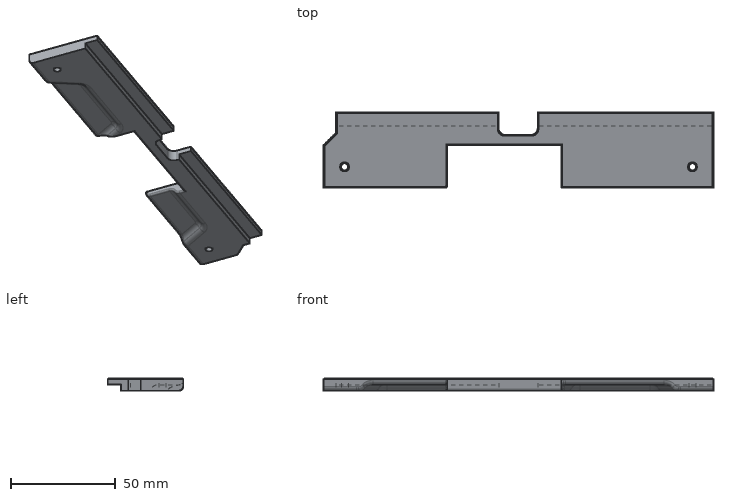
import cadquery as cq
import math

length = 186.0
depth = 36.0
thickness = 6.0
top_chamfer = 0.5

step_width = 6.0
step_start = 20.3

notch_left = 59.0
notch_right = 113.3
notch_depth = 20.3
notch_rim_radius = 1.0

slot_left = 83.5
slot_right = 102.1
slot_floor = 25.3
slot_corner_radius = 3.2

rebate_width = 6.3
rebate_height = 3.0

hole_diameter = 3.3
hole_inset = 10.0

recess_height = 3.0
recess_depth = 14.1
recess_end_angle = 60.0
recess_draft = 34.0
recess_corner_radius = 3.5
recess_left_start = 20.0
recess_right_start = 112.0
recess_right_end = 165.7
recess_root_radius = 3.3
recess_rim_radius = 3.3
front_edge_radius = 2.2

overrun = 7.5
end_slope = 1 / math.tan(math.radians(recess_end_angle))
end_run = recess_depth * end_slope
overrun_run = overrun * end_slope

tolerance = 0.1


def edges_in(body, x_range, y_range, z_range):
    """Edges of body whose centres lie in the given box."""
    low, high = zip(x_range, y_range, z_range)
    return body.edges(cq.selectors.BoxSelector(low, high))


def near(value):
    """Narrow range about a coordinate."""
    return (value - tolerance, value + tolerance)


def plate():
    """Full-height plate with its notch, slot, stepped end and screw holes."""
    outline = [
        (0, 0),
        (notch_left, 0),
        (notch_left, notch_depth),
        (notch_right, notch_depth),
        (notch_right, 0),
        (length, 0),
        (length, depth),
        (slot_right, depth),
        (slot_right, slot_floor),
        (slot_left, slot_floor),
        (slot_left, depth),
        (step_width, depth),
        (step_width, step_start + step_width),
        (0, step_start),
    ]
    body = cq.Workplane("XY").polyline(outline).close().extrude(thickness)
    for x in (slot_left, slot_right):
        corner = cq.selectors.NearestToPointSelector((x, slot_floor, thickness / 2))
        body = body.edges(corner).fillet(slot_corner_radius)
    holes = (
        cq.Workplane("XY")
        .pushPoints([(hole_inset, hole_inset), (length - hole_inset, hole_inset)])
        .circle(hole_diameter / 2)
        .extrude(thickness)
    )
    return body.cut(holes)


def rebate():
    """Block removed from under the whole rear edge."""
    block = cq.Workplane("XY").box(length, rebate_width, rebate_height, centered=False)
    return block.translate((0, depth - rebate_width, 0))


def recess(left_end, right_end):
    """Solid that widens downwards from the ceiling of a recess.

    Each end is given as its front and rear points; slanted ends get a rounded rear corner.
    """
    points = [cq.Vector(x, y, recess_height) for x, y in left_end + right_end[::-1]]
    rear_corners = [end[1] for end in (left_end, right_end) if end[0][0] != end[1][0]]
    wire = cq.Wire.makePolygon(points, close=True)
    rounded = [v for v in wire.Vertices() if v.Center().toTuple()[:2] in rear_corners]
    wire = wire.fillet2D(recess_corner_radius, rounded)
    return (
        cq.Workplane("XY", origin=(0, 0, recess_height))
        .add(wire)
        .toPending()
        .extrude(-recess_height, taper=-recess_draft)
    )


def recess_end(front_x, inward):
    """Slanted end that crosses the front face at front_x; inward is the X direction into the recess."""
    front = (front_x - inward * overrun_run, -overrun)
    rear = (front_x + inward * end_run, recess_depth)
    return [front, rear]


def left_recess():
    beyond_notch = notch_left + overrun
    open_end = [(beyond_notch, -overrun), (beyond_notch, recess_depth)]
    return recess(recess_end(recess_left_start, 1), open_end)


def right_recess():
    return recess(recess_end(recess_right_start, 1), recess_end(recess_right_end, -1))


def round_recess(body, x_range):
    """Blend the sloping wall of one recess into its ceiling and into the underside."""
    wall_range = (tolerance, notch_depth - tolerance)
    root = edges_in(body, x_range, wall_range, near(recess_height))
    body = root.fillet(recess_root_radius)
    underside_edges = edges_in(body, x_range, wall_range, near(0))
    rim = underside_edges.filter(lambda edge: not edge.IsClosed())
    return rim.fillet(recess_rim_radius)


def round_front(body):
    """Round the lower front edge, following it up and over both recesses."""
    lower_range = (-tolerance, recess_height + tolerance)
    return edges_in(body, (tolerance, length - tolerance), near(0), lower_range).fillet(front_edge_radius)


def round_notch(body):
    """Round the bottom edges of the notch and its two front corners."""
    rim = edges_in(body, (notch_left, notch_right), near(notch_depth), near(0))
    side_range = (-tolerance, notch_depth - tolerance)
    height_range = (-tolerance, thickness - tolerance)
    for x in (notch_left, notch_right):
        rim = rim.add(edges_in(body, near(x), side_range, height_range))
    return rim.fillet(notch_rim_radius)


body = plate().cut(rebate()).cut(left_recess()).cut(right_recess())
body = round_recess(body, (tolerance, notch_left - tolerance))
body = round_recess(body, (notch_right + tolerance, length - tolerance))
body = round_front(body)
body = round_notch(body)
result = body.faces(">Z").edges().chamfer(top_chamfer).solids()